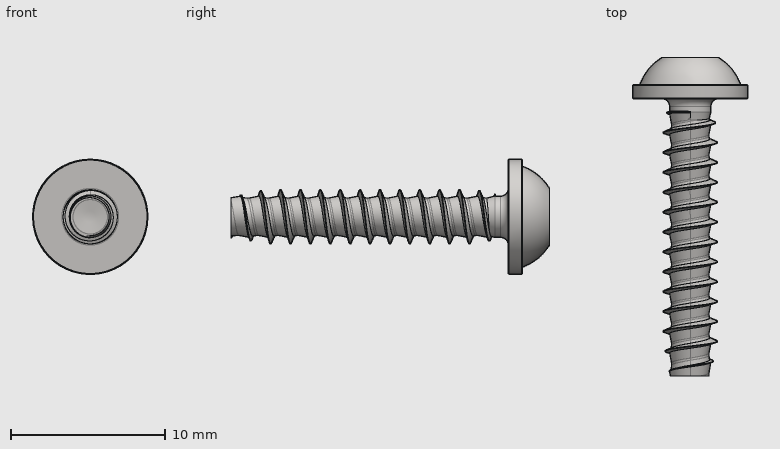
import cadquery as cq
import math


head_height = 2.7
flange_radius = 3.75
flange_thickness = 0.93
flange_edge_chamfer = 0.06
dome_top_radius = 1.85
dome_foot_radius = 3.3

overall_length = 20.7
shank_length = overall_length - head_height
collar_radius = 1.35
collar_fillet = 0.5
collar_end_depth = 0.87
core_radius = 1.22
core_start_depth = 1.39
tip_dimple_radius = 1.12
tip_dimple_depth = 0.12

thread_turns = 13.5
thread_start_depth = 0.58
thread_end_depth = shank_length
pitch = (thread_end_depth - thread_start_depth) / thread_turns
crest_radius = 1.75
crest_half_width = 0.02
start_height = 0.3
start_fade_turns = 1.25
faint_height = 0.05
faint_turns = 0.2
end_fade_turns = 1.5
points_per_turn = 16

toe_radius = 1.26
ramp_radius = 1.35
buried_depth = 0.01
buried_radius = core_radius - buried_depth
head_flank_width = 0.2
tip_flank_width = 0.12
toe_start_offset = -0.45
gap_between_turns = 0.02
ramp_end_offset = pitch + toe_start_offset - gap_between_turns


def revolve_about_axis(profile):
    """Revolves a closed profile, drawn as (Y, radius), about the screw axis."""
    return profile.close().revolve(360, (0, 0, 0), (1, 0, 0))


def dome_middle():
    """A point halfway up the dome, on the sphere centred on the screw axis."""
    dome_height = head_height - flange_thickness
    centre_drop = (dome_foot_radius**2 + dome_height**2 - dome_top_radius**2) / (2 * dome_height)
    sphere_radius = math.hypot(dome_top_radius, centre_drop)
    radius = math.sqrt(sphere_radius**2 - (centre_drop - dome_height / 2) ** 2)
    return (head_height - dome_height / 2, radius)


def make_blank():
    """The head, the filleted collar and the plain core."""
    chamfer = flange_edge_chamfer
    fillet_middle = collar_fillet * (1 - math.sqrt(0.5))
    profile = (
        cq.Workplane("YZ")
        .moveTo(head_height, 0)
        .lineTo(head_height, dome_top_radius)
        .threePointArc(dome_middle(), (flange_thickness, dome_foot_radius))
        .lineTo(flange_thickness, flange_radius - chamfer)
        .lineTo(flange_thickness - chamfer, flange_radius)
        .lineTo(chamfer, flange_radius)
        .lineTo(0, flange_radius - chamfer)
        .lineTo(0, collar_radius + collar_fillet)
        .threePointArc(
            (-fillet_middle, collar_radius + fillet_middle),
            (-collar_fillet, collar_radius),
        )
        .lineTo(-collar_end_depth, collar_radius)
        .lineTo(-core_start_depth, core_radius)
        .lineTo(-shank_length, core_radius)
        .lineTo(-shank_length, 0)
    )
    return revolve_about_axis(profile)


def thread_height(turn):
    """The height of the thread as a share of its full height, smaller near both ends."""
    growing = start_height + (1 - start_height) * turn / start_fade_turns
    shrinking = (thread_turns - faint_turns - turn) / end_fade_turns
    return max(faint_height, min(growing, shrinking, 1))


def thread_section(turn):
    """The corners of the thread section, as points in space, after a number of turns."""
    height = thread_height(turn)
    helix_depth = thread_start_depth + pitch * turn
    crest_depth = max(helix_depth, collar_end_depth)
    crest = ramp_radius + height * (crest_radius - ramp_radius)
    corners = [
        (helix_depth + toe_start_offset, buried_radius),
        (crest_depth - crest_half_width - height * head_flank_width, toe_radius),
        (crest_depth - crest_half_width, crest),
        (crest_depth + crest_half_width, crest),
        (crest_depth + crest_half_width + height * tip_flank_width, ramp_radius),
        (helix_depth + ramp_end_offset, buried_radius),
    ]
    angle = math.pi / 2 + 2 * math.pi * turn
    return [
        cq.Vector(radius * math.cos(angle), -depth, radius * math.sin(angle))
        for depth, radius in corners
    ]


def thread_turn(start, end):
    """The ruled faces between the paths that the section corners follow over at most one turn."""
    steps = round((end - start) * points_per_turn)
    sections = [thread_section(start + step / points_per_turn) for step in range(steps + 1)]
    paths = [cq.Edge.makeSpline(list(points)) for points in zip(*sections)]
    next_paths = paths[1:] + paths[:1]
    return [cq.Face.makeRuledSurface(path, other) for path, other in zip(paths, next_paths)]


def make_thread():
    """A helical rib built turn by turn and closed by a flat cap at each end."""
    faces = []
    for turn in range(math.ceil(thread_turns)):
        faces += thread_turn(turn, min(turn + 1, thread_turns))
    for turn in (0, thread_turns):
        faces.append(cq.Face.makeFromWires(cq.Wire.makePolygon(thread_section(turn), close=True)))
    return cq.Workplane(cq.Solid.makeSolid(cq.Shell.makeShell(faces)))


def make_tip_cutter():
    """Trims the thread flush with the point and hollows a shallow cone into the end."""
    profile = (
        cq.Workplane("YZ")
        .moveTo(tip_dimple_depth - shank_length, 0)
        .lineTo(-shank_length, tip_dimple_radius)
        .lineTo(-shank_length, flange_radius)
        .lineTo(-shank_length - pitch, flange_radius)
        .lineTo(-shank_length - pitch, 0)
    )
    return revolve_about_axis(profile)


result = make_blank().union(make_thread()).cut(make_tip_cutter())